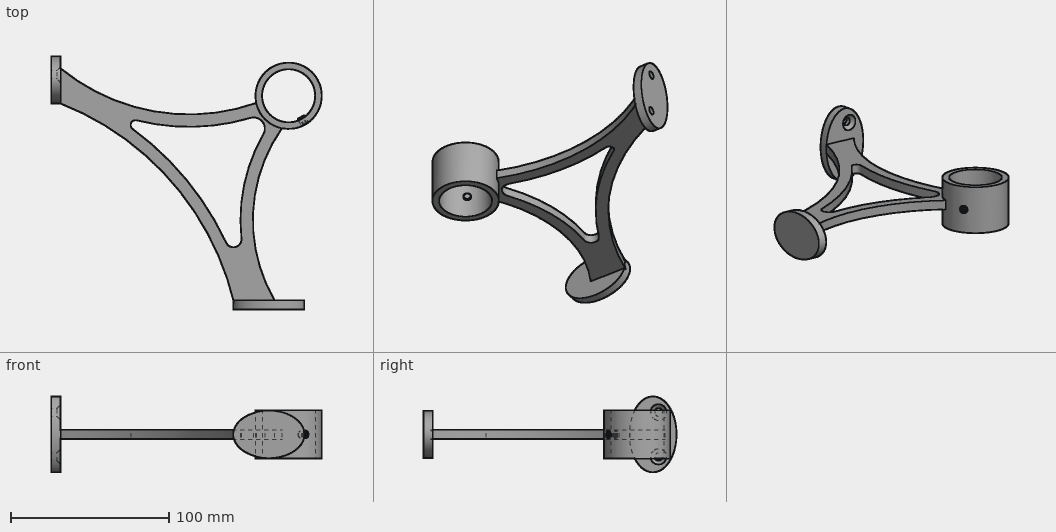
import cadquery as cq
import math


ring_diameter = 42.0
bore_diameter = 33.4
ring_height = 30.5

plate_thickness = 6.0
side_plate_outer_x = -150.0
side_plate_y = 10.0
side_plate_width = 30.0
side_plate_height = 48.0
front_plate_outer_y = -135.0
front_plate_x = -12.5
front_plate_width = 45.0
front_plate_height = 30.0

screw_hole_diameter = 5.0
countersink_diameter = 10.1
countersink_angle = 90.0
screw_hole_spacing = 28.0
screw_hole_y = 13.5

web_thickness = 6.0
web_top_y = 18.0
arm_width = 8.0
back_arc = (-62.8, 116.3, 128.0)
right_arc = (78.3, -78.5, 100.8)
low_arc_radius = 180.0
low_arc_inset = 0.05

side_corner_radius = 3.0
front_corner_radius = 5.0
ring_corner_radius = 7.0

set_screw_diameter = 5.0
set_screw_angle = -60.0
set_screw_tip_radius = 15.5
set_screw_length = 5.0
set_screw_chamfer = 0.4
socket_across_flats = 2.5
socket_depth = 2.0


def low_edge_arc():
    """Arc between points just inside the near tips of the two plates, bulging toward the ring."""
    side_tip_x = side_plate_outer_x + plate_thickness
    side_tip_y = side_plate_y - side_plate_width / 2 + low_arc_inset
    front_tip_x = front_plate_x - front_plate_width / 2 + low_arc_inset
    front_tip_y = front_plate_outer_y + plate_thickness
    chord_x = front_tip_x - side_tip_x
    chord_y = front_tip_y - side_tip_y
    chord = math.hypot(chord_x, chord_y)
    height = math.sqrt(low_arc_radius**2 - (chord / 2) ** 2)
    return (
        (side_tip_x + front_tip_x) / 2 + height * chord_y / chord,
        (side_tip_y + front_tip_y) / 2 - height * chord_x / chord,
        low_arc_radius,
    )


low_arc = low_edge_arc()


def arc_disc(arc):
    """Disc bounded by one of the web arcs, as thick as the web."""
    center_x, center_y, radius = arc
    return (
        cq.Workplane("XY", origin=(center_x, center_y, -web_thickness / 2))
        .circle(radius)
        .extrude(web_thickness)
    )


def web_block():
    """Rectangle from the outer plate faces to the ring centre."""
    return cq.Workplane("XY").box(
        -side_plate_outer_x,
        web_top_y - front_plate_outer_y,
        web_thickness,
        centered=(False, False, True),
    ).translate((side_plate_outer_x, front_plate_outer_y, 0))


def corner_center(first_arc, second_arc, radius):
    """Centre of the window corner of the given radius that is tangent to two arms."""
    first_x, first_y, first_radius = first_arc
    second_x, second_y, second_radius = second_arc
    first_reach = first_radius + arm_width + radius
    second_reach = second_radius + arm_width + radius
    span = math.hypot(second_x - first_x, second_y - first_y)
    along_x = (second_x - first_x) / span
    along_y = (second_y - first_y) / span
    along = (first_reach**2 - second_reach**2 + span**2) / (2 * span)
    across = math.sqrt(first_reach**2 - along**2)
    return (
        first_x + along * along_x - across * along_y,
        first_y + along * along_y + across * along_x,
    )


def point_toward(center, target, distance):
    """Point at a distance from the centre, in the direction of the target."""
    angle = math.atan2(target[1] - center[1], target[0] - center[0])
    return (center[0] + distance * math.cos(angle), center[1] + distance * math.sin(angle))


def draw_arc(outline, center, radius, start, end):
    """Add the shorter arc about the centre, from start to end."""
    chord_middle = ((start[0] + end[0]) / 2, (start[1] + end[1]) / 2)
    return outline.threePointArc(point_toward(center, chord_middle, radius), end)


def make_window():
    """Three-sided opening that leaves arms of even width, with rounded corners."""
    corners = [
        (back_arc, low_arc, side_corner_radius),
        (low_arc, right_arc, front_corner_radius),
        (right_arc, back_arc, ring_corner_radius),
    ]
    rounds = []
    for before, after, radius in corners:
        center = corner_center(before, after, radius)
        start = point_toward(before[:2], center, before[2] + arm_width)
        end = point_toward(after[:2], center, after[2] + arm_width)
        rounds.append((center, radius, start, end, after))

    previous_end = rounds[-1][3]
    previous_arc = rounds[-1][4]
    outline = cq.Workplane("XY", origin=(0, 0, -web_thickness / 2)).moveTo(*previous_end)
    for center, radius, start, end, after in rounds:
        side_radius = previous_arc[2] + arm_width
        outline = draw_arc(outline, previous_arc[:2], side_radius, previous_end, start)
        outline = draw_arc(outline, center, radius, start, end)
        previous_end = end
        previous_arc = after
    return outline.close().extrude(web_thickness)


def make_web():
    """Web with three hollow edges and the window."""
    web = web_block()
    for arc in (back_arc, right_arc, low_arc):
        web = web.cut(arc_disc(arc))
    return web.cut(make_window())


def make_side_plate():
    """Upright oval plate, countersunk from its inner face."""
    inner_x = side_plate_outer_x + plate_thickness
    plate = (
        cq.Workplane("YZ", origin=(side_plate_outer_x, side_plate_y, 0))
        .ellipse(side_plate_width / 2, side_plate_height / 2)
        .extrude(plate_thickness)
    )
    return (
        plate.copyWorkplane(cq.Workplane("YZ", origin=(inner_x, screw_hole_y, 0)))
        .pushPoints([(0, -screw_hole_spacing / 2), (0, screw_hole_spacing / 2)])
        .cskHole(screw_hole_diameter, countersink_diameter, countersink_angle)
    )


def make_front_plate():
    """Plain oval plate lying across the other arm end."""
    inner_y = front_plate_outer_y + plate_thickness
    return (
        cq.Workplane("XZ", origin=(front_plate_x, inner_y, 0))
        .ellipse(front_plate_width / 2, front_plate_height / 2)
        .extrude(plate_thickness)
    )


def set_screw_plane(radius):
    """Plane square to the screw axis, facing outward, at a radius from the ring axis."""
    angle = math.radians(set_screw_angle)
    outward = (math.cos(angle), math.sin(angle), 0.0)
    origin = (radius * outward[0], radius * outward[1], 0.0)
    return cq.Plane(origin=origin, xDir=(0, 0, 1), normal=outward)


def make_bracket():
    """Ring, web and both plates as one solid."""
    ring = cq.Workplane("XY").circle(ring_diameter / 2).extrude(ring_height / 2, both=True)
    bore = cq.Workplane("XY").circle(bore_diameter / 2).extrude(ring_height / 2, both=True)
    screw_hole = (
        cq.Workplane(set_screw_plane(0.0)).circle(set_screw_diameter / 2).extrude(ring_diameter / 2)
    )
    hub = ring.union(make_web()).cut(bore).cut(screw_hole)
    return hub.union(make_front_plate()).union(make_side_plate())


def make_set_screw():
    """Socket set screw: the tip stands in the bore, the head sits below the ring surface."""
    body = (
        cq.Workplane(set_screw_plane(set_screw_tip_radius))
        .circle(set_screw_diameter / 2)
        .extrude(set_screw_length)
        .edges()
        .chamfer(set_screw_chamfer)
    )
    socket = (
        cq.Workplane(set_screw_plane(set_screw_tip_radius + set_screw_length))
        .polygon(6, socket_across_flats, circumscribed=True)
        .extrude(-socket_depth)
    )
    return body.cut(socket)


bracket = make_bracket()
set_screw = make_set_screw()
result = cq.Compound.makeCompound([bracket.solids().val(), set_screw.val()])